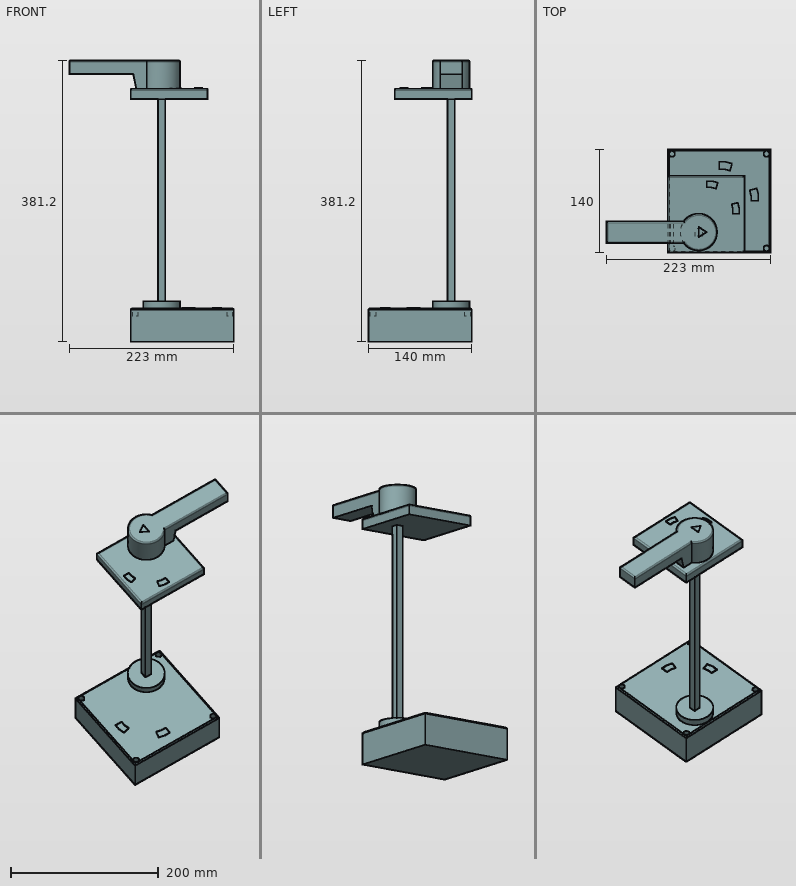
import cadquery as cq
import math

axis_x = 42.0
axis_y = 28.0

housing_side = 140.0
housing_height = 45.5
housing_chamfer = 2.0
screw_hole_depth = 10.0
screw_hole_diameter = 8.0
screw_hole_inset = 6.0
collar_diameter = 50.0
collar_height = 9.5
collar_top = housing_height + collar_height

plate_side = 104.5
plate_thickness = 14.4
plate_fillet = 2.2
plate_bottom = 328.6
plate_top = plate_bottom + plate_thickness

shaft_side = 10.0
shaft_length = plate_bottom - collar_top

overall_length = 223.0
overall_height = 381.2
arrow_height = 0.2
handle_top = overall_height - arrow_height
knob_radius = 25.0
lever_width = 30.0
lever_thickness = 18.4
lever_bottom = handle_top - lever_thickness
lever_tip_x = housing_side - overall_length
neck_upper_offset = 38.5
neck_lower_offset = 34.5
handle_fillet = 2.0
arrow_length = 11.0
arrow_half_width = 7.0

label_height = 0.8
label_bend = 15.0
housing_label_centre = (118.0, 78.2)
housing_label_width = 10.0
housing_label_arm = 8.0
plate_label_centre = (92.7, 60.0)
plate_label_width = 8.5
plate_label_arm = 7.0


def position_labels(centre, width, arm, base_z):
    """Two bent pads, each a straight half and a tilted half meeting in a mitre."""
    bend = math.radians(label_bend)
    half = width / 2
    mitre = half * math.tan(bend / 2)
    along = (-math.sin(bend), math.cos(bend))
    across = (math.cos(bend), math.sin(bend))
    outline = [
        (-half, -arm),
        (half, -arm),
        (half, mitre),
        (arm * along[0] + half * across[0], arm * along[1] + half * across[1]),
        (arm * along[0] - half * across[0], arm * along[1] - half * across[1]),
        (-half, -mitre),
    ]
    on_points = [(centre[0] + x, centre[1] + y) for x, y in outline]
    off_points = [(y, x) for x, y in on_points]
    plane = cq.Workplane("XY").workplane(offset=base_z)
    on_label = plane.polyline(on_points).close().extrude(label_height)
    off_label = plane.polyline(off_points).close().extrude(label_height)
    return on_label.union(off_label)


def corner_block(side, height, base_z):
    """Square block with one vertical edge on the Z axis."""
    return cq.Workplane("XY").workplane(offset=base_z).rect(side, side, centered=False).extrude(height)


def make_housing():
    """Switch housing with corner screw holes, shaft collar and labels."""
    near = screw_hole_inset
    far = housing_side - screw_hole_inset
    corners = [(x, y) for x in (near, far) for y in (near, far)]
    holes = (
        cq.Workplane("XY", origin=(0, 0, housing_height))
        .pushPoints(corners)
        .circle(screw_hole_diameter / 2)
        .extrude(-screw_hole_depth)
    )
    collar = (
        cq.Workplane("XY", origin=(axis_x, axis_y, housing_height))
        .circle(collar_diameter / 2)
        .extrude(collar_height)
    )
    labels = position_labels(housing_label_centre, housing_label_width, housing_label_arm, housing_height)
    block = corner_block(housing_side, housing_height, 0).faces(">Z").edges().chamfer(housing_chamfer)
    return block.cut(holes).union(collar).union(labels)


def make_shaft():
    """Square shaft between the collar and the front plate."""
    return (
        cq.Workplane("XY", origin=(axis_x, axis_y, collar_top))
        .rect(shaft_side, shaft_side)
        .extrude(shaft_length)
    )


def make_lever_and_knob():
    """Knob and lever with a rounded top rim and a direction arrow."""
    knob = (
        cq.Workplane("XY", origin=(axis_x, axis_y, plate_top))
        .circle(knob_radius)
        .extrude(handle_top - plate_top)
    )
    lever = (
        cq.Workplane("XZ", origin=(0, axis_y, 0))
        .moveTo(axis_x, plate_top)
        .lineTo(axis_x - neck_lower_offset, plate_top)
        .lineTo(axis_x - neck_upper_offset, lever_bottom)
        .lineTo(lever_tip_x, lever_bottom)
        .lineTo(lever_tip_x, handle_top)
        .lineTo(axis_x, handle_top)
        .close()
        .extrude(lever_width / 2, both=True)
    )
    arrow = (
        cq.Workplane("XY", origin=(axis_x, axis_y, handle_top))
        .polyline([(0, -arrow_half_width), (arrow_length, 0), (0, arrow_half_width)])
        .close()
        .extrude(arrow_height)
    )
    return knob.union(lever).faces(">Z").edges().fillet(handle_fillet).union(arrow)


def make_handle():
    """Front plate with its labels, knob and lever."""
    labels = position_labels(plate_label_centre, plate_label_width, plate_label_arm, plate_top)
    plate = corner_block(plate_side, plate_thickness, plate_bottom).faces(">Z").edges().fillet(plate_fillet)
    return plate.union(labels).union(make_lever_and_knob())


housing = make_housing()
shaft = make_shaft()
handle = make_handle()

result = cq.Compound.makeCompound([housing.val(), shaft.val(), handle.val()])